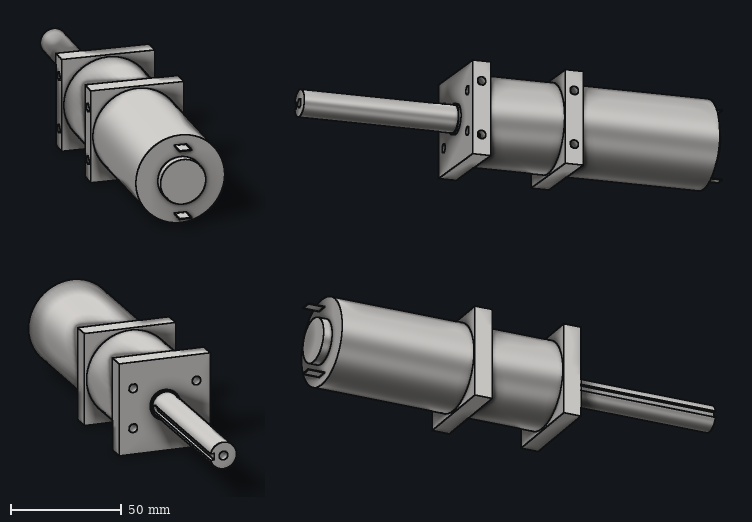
import cadquery as cq

total_length = 204.2

shaft_diameter = 12.9
center_hole_diameter = 4.0
center_hole_depth = 8.2
keyway_width = 3.0
keyway_floor = 4.5
keyway_length = 73.5

collar_diameter = 14.3
collar_length = 1.0

plate_side = 44.3
plate_thickness = 8.8
front_plate_x = 75.8
rear_plate_x = 120.7
side_hole_diameter = 3.9
side_hole_depth = 8.2
side_hole_z = 12.7
face_hole_diameter = 4.0
face_hole_y = 15.3
face_hole_z = 9.5

body_diameter = 42.3
body_end_x = 196.0
boss_diameter = 21.5
boss_length = 4.3
tab_width = 5.7
tab_thickness = 0.5
tab_z = 16.3


def cylinder_along_x(diameter, start_x, end_x, y=0, z=0):
    profile = cq.Workplane("YZ", origin=(start_x, y, z)).circle(diameter / 2)
    return profile.extrude(end_x - start_x)


def box_along_x(start_x, end_x, width, height, y=0, z=0):
    profile = cq.Workplane("YZ", origin=(start_x, y, z)).rect(width, height)
    return profile.extrude(end_x - start_x)


def plate_side_holes(start_x):
    """Two blind holes in the -Y edge of a mounting plate."""
    hole_x = start_x + plate_thickness / 2
    return (
        cq.Workplane("XZ", origin=(hole_x, -plate_side / 2, 0))
        .pushPoints([(0, -side_hole_z), (0, side_hole_z)])
        .circle(side_hole_diameter / 2)
        .extrude(-side_hole_depth)
    )


def shaft():
    """Shaft with a center hole in its tip and a round-ended keyway open to the tip on +Y."""
    blank = cylinder_along_x(shaft_diameter, 0, front_plate_x)
    center_hole = cylinder_along_x(center_hole_diameter, 0, center_hole_depth)
    keyway = (
        cq.Workplane("XZ", origin=(0, keyway_floor, 0))
        .slot2D(2 * keyway_length, keyway_width)
        .extrude(-shaft_diameter / 2)
    )
    return blank.cut(center_hole).cut(keyway)


result = cylinder_along_x(body_diameter, front_plate_x + plate_thickness, body_end_x)
result = result.union(cylinder_along_x(collar_diameter, front_plate_x - collar_length, front_plate_x))
result = result.union(cylinder_along_x(boss_diameter, body_end_x, body_end_x + boss_length))
result = result.union(shaft())

for z in (-tab_z, tab_z):
    result = result.union(box_along_x(body_end_x, total_length, tab_width, tab_thickness, z=z))

for plate_x in (front_plate_x, rear_plate_x):
    plate = box_along_x(plate_x, plate_x + plate_thickness, plate_side, plate_side)
    result = result.union(plate).cut(plate_side_holes(plate_x))

for y in (-face_hole_y, face_hole_y):
    for z in (-face_hole_z, face_hole_z):
        hole = cylinder_along_x(
            face_hole_diameter, front_plate_x, front_plate_x + plate_thickness, y=y, z=z
        )
        result = result.cut(hole)